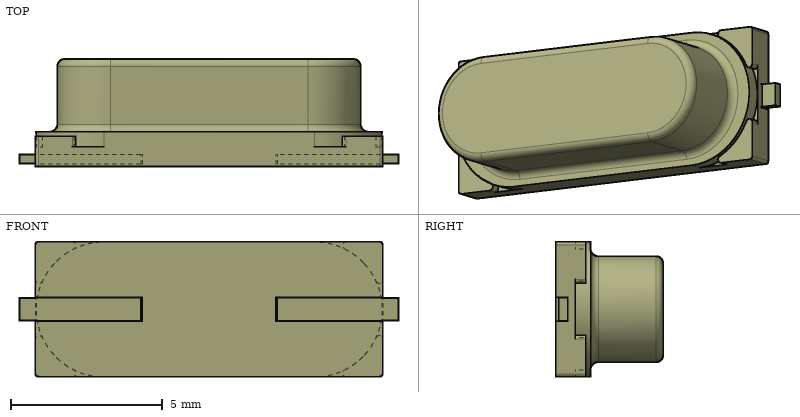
import cadquery as cq
import math

total_depth = 3.55
notch_floor = 0.65
corner_top = 1.0
flange_top = 1.15

plate_length = 11.45
plate_width = 4.45
plate_corner_radius = 0.1
post_tip_radius = 0.12

flange_length = 11.4
flange_width = plate_width
can_length = 10.0
can_width = 3.5
can_root_radius = 0.25
can_rim_radius = 0.25

lead_tip_x = 6.25
lead_inner_x = 2.25
lead_width = 0.75
lead_thickness = 0.3
lead_recess = 0.1
slot_side_clearance = 0.025
slot_end_clearance = 0.05

SIDES = (-1, 1)
SELECT_MARGIN = 0.01


def plane_at(level):
    """XZ sketch plane at y = level, extruding toward +Y; its local Y axis is -Z."""
    return cq.Workplane(cq.Plane(origin=(0, level, 0), xDir=(1, 0, 0), normal=(0, 1, 0)))


def stadium(length, width, bottom, top):
    """Round-ended block between two Y levels."""
    return plane_at(bottom).slot2D(length, width).extrude(top - bottom)


def make_corner_post():
    """Post on the +X, local +Y corner: its inner wall hugs the flange end and its two tips are rounded."""
    half_length = plate_length / 2
    half_width = plate_width / 2
    tip = post_tip_radius
    wall_radius = flange_width / 2
    wall_x = (flange_length - flange_width) / 2

    reach = wall_radius + tip
    side_tip = (half_length - tip, math.sqrt(reach**2 - (half_length - tip - wall_x) ** 2))
    top_tip = (wall_x + math.sqrt(reach**2 - (half_width - tip) ** 2), half_width - tip)

    def wall_point(angle):
        return (wall_x + wall_radius * math.cos(angle), wall_radius * math.sin(angle))

    def tip_point(center, angle):
        return (center[0] + tip * math.cos(angle), center[1] + tip * math.sin(angle))

    side_angle = math.atan2(side_tip[1], side_tip[0] - wall_x)
    top_angle = math.atan2(top_tip[1], top_tip[0] - wall_x)
    side_mid = (side_angle - math.pi) / 2
    top_mid = (top_angle + math.pi + math.pi / 2) / 2

    post = (
        plane_at(notch_floor)
        .moveTo(*tip_point(side_tip, 0))
        .threePointArc(tip_point(side_tip, side_mid), wall_point(side_angle))
        .threePointArc(wall_point((side_angle + top_angle) / 2), wall_point(top_angle))
        .threePointArc(tip_point(top_tip, top_mid), tip_point(top_tip, math.pi / 2))
        .lineTo(half_length, half_width)
        .close()
        .extrude(corner_top - notch_floor)
    )
    return post


def make_lead_slot(side):
    """Slot in the mounting face, open at the plate end."""
    inner_x = lead_inner_x - slot_end_clearance
    length = lead_tip_x - inner_x
    return (
        plane_at(0)
        .center(side * (inner_x + length / 2), 0)
        .rect(length, lead_width + 2 * slot_side_clearance)
        .extrude(lead_recess + lead_thickness)
    )


def make_plate():
    """Base plate with a raised post on each corner and rounded outline corners."""
    plate = plane_at(0).rect(plate_length, plate_width).extrude(notch_floor)

    post = make_corner_post()
    left_post = post.mirror("YZ")
    for corner in (post, left_post, post.mirror("XY"), left_post.mirror("XY")):
        plate = plate.union(corner)

    rounded_outline = (
        plane_at(0)
        .rect(plate_length, plate_width)
        .extrude(corner_top)
        .edges("|Y")
        .fillet(plate_corner_radius)
    )
    return plate.intersect(rounded_outline)


def make_cap():
    """Flange and the can that rises from it, with a rounded root and a rounded rim."""
    flange = stadium(flange_length, flange_width, notch_floor, flange_top)
    can = stadium(can_length, can_width, flange_top, total_depth)
    can = can.faces(">Y").edges().fillet(can_rim_radius)
    cap = flange.union(can)
    root_corner = (can_length / 2 + SELECT_MARGIN, SELECT_MARGIN, can_width / 2 + SELECT_MARGIN)
    root_box = cq.selectors.BoxSelector(
        (-root_corner[0], flange_top - root_corner[1], -root_corner[2]),
        (root_corner[0], flange_top + root_corner[1], root_corner[2]),
        boundingbox=True,
    )
    return cap.edges(root_box).fillet(can_root_radius)


def make_housing():
    """Plate and cap in one piece, with a lead slot at each end."""
    housing = make_plate().union(make_cap())
    for side in SIDES:
        housing = housing.cut(make_lead_slot(side))
    return housing


def make_lead(side):
    """Flat lead that lies in its slot and sticks out past the plate end."""
    length = lead_tip_x - lead_inner_x
    return (
        plane_at(lead_recess)
        .center(side * (lead_inner_x + length / 2), 0)
        .rect(length, lead_width)
        .extrude(lead_thickness)
    )


housing = make_housing()
leads = [make_lead(side) for side in SIDES]

result = cq.Compound.makeCompound([housing.val(), *[lead.val() for lead in leads]])